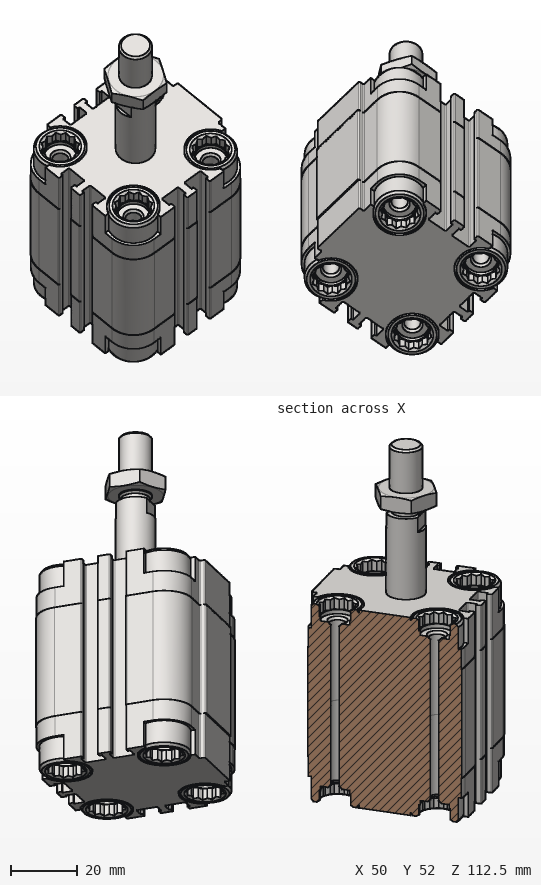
import cadquery as cq
import math

HOUSING_HEIGHT = 64.5
BAND_HALF_WIDTH = 25.0
END_INSET = 0.1
END_LENGTH = 14.5
SCREW_OFFSET = 16.0
TONGUE_HALF_WIDTH = 9.8
TONGUE_REACH = 27
TONGUE_END_INSET = 0.3
TONGUE_ROUND = 0.5
TONGUE_ROOT_ROUND = 0.3

SLOT_FLOOR = 19.9
LIP_INNER = 23.2
SLOT_NEAR, SLOT_FAR = 1.2, 8.0
MOUTH_NEAR, MOUTH_FAR = 2.0, 7.2
EDGE_ROUND = 0.3
FLOOR_ROUND = 0.3

COLLAR_DIAMETER = 16.0
COLLAR_CHAMFER = 0.9
COLLAR_FACE_DIAMETER = 14.6
RECESS_EDGE = 13.0
RECESS_DEPTH = 8.0
SOCKET_RIM_DIAMETER = 12.6
SOCKET_POINT_DIAMETER = 11.6
SOCKET_RIM_DEPTH = 0.8
SOCKET_DEPTH = 3.9
SOCKET_POINTS = 12
BORE_DIAMETER = 10.1
BORE_DEPTH = 5.3
THROUGH_DIAMETER = 5.0
COUNTERSINK_DIAMETER = 6.2
COUNTERSINK_DEPTH = 0.9

ROD_TOP = 112.5
ROD_DIAMETER = 12.0
ROD_SHOULDER = 90.7
FLAT_LENGTH = 4.8
FLAT_WIDTH = 10.0
NECK_DIAMETER = 8.7
THREAD_DIAMETER = 10.0
THREAD_BOTTOM = 92.5

NUT_BOTTOM = 93.5
NUT_HEIGHT = 5.1
NUT_FLATS = 17.0
NUT_FACE_DIAMETER = 16.6
NUT_CORNER_DROP = 0.5


def slot_cutter(half_width, side):
    """One undercut slot on the -Y side, on the given side of the middle."""
    undercut = (
        cq.Workplane("XY")
        .moveTo(side * (SLOT_NEAR + SLOT_FAR) / 2, -(SLOT_FLOOR + LIP_INNER) / 2)
        .rect(SLOT_FAR - SLOT_NEAR, LIP_INNER - SLOT_FLOOR)
        .extrude(HOUSING_HEIGHT)
        .edges("|Z and >Y")
        .fillet(FLOOR_ROUND)
    )
    mouth = (
        cq.Workplane("XY")
        .moveTo(side * MOUTH_NEAR, -SLOT_FLOOR)
        .lineTo(side * MOUTH_NEAR, EDGE_ROUND - half_width)
        .radiusArc((side * (MOUTH_NEAR - EDGE_ROUND), -half_width), side * EDGE_ROUND)
        .lineTo(side * (MOUTH_FAR + EDGE_ROUND), -half_width)
        .radiusArc((side * MOUTH_FAR, EDGE_ROUND - half_width), side * EDGE_ROUND)
        .lineTo(side * MOUTH_FAR, -SLOT_FLOOR)
        .close()
        .extrude(HOUSING_HEIGHT)
    )
    return undercut.union(mouth)


def profile_block(half_width, tongue_reach, bottom, height):
    """Rounded square with a tongue on +Y and slots on the other three sides."""
    tongue = (
        cq.Workplane("XY")
        .moveTo(0, tongue_reach / 2)
        .rect(2 * TONGUE_HALF_WIDTH, tongue_reach)
        .extrude(HOUSING_HEIGHT)
        .edges("|Z and >Y")
        .fillet(TONGUE_ROUND)
    )
    block = (
        cq.Workplane("XY")
        .rect(2 * half_width, 2 * half_width)
        .extrude(HOUSING_HEIGHT)
        .edges("|Z")
        .fillet(half_width - SCREW_OFFSET)
        .union(tongue)
    )
    for side in (-1, 1):
        root = cq.selectors.NearestToPointSelector(
            (side * TONGUE_HALF_WIDTH, half_width, HOUSING_HEIGHT / 2)
        )
        block = block.edges("|Z").edges(root).fillet(TONGUE_ROOT_ROUND)
    for angle in (-90, 0, 90):
        for side in (-1, 1):
            block = block.cut(slot_cutter(half_width, side).rotate((0, 0, 0), (0, 0, 1), angle))
    stretch = (
        cq.Workplane("XY")
        .workplane(offset=bottom)
        .rect(4 * half_width, 4 * half_width)
        .extrude(height)
    )
    return block.intersect(stretch)


def revolved(points):
    """Solid of revolution about Z from (radius, height) points."""
    return cq.Workplane("XZ").polyline(points).close().revolve(360, (0, 0), (0, 1))


def star_points():
    """Outline of two crossed hexagons with their points on the socket's point circle."""
    outer = SOCKET_POINT_DIAMETER / 2
    inner = outer * math.cos(math.pi / 6) / math.cos(math.pi / SOCKET_POINTS)
    points = []
    for i in range(2 * SOCKET_POINTS):
        radius = inner if i % 2 else outer
        angle = i * math.pi / SOCKET_POINTS
        points.append((radius * math.cos(angle), radius * math.sin(angle)))
    return points


def collar_cutter():
    """Everything removed at one upper corner, with the collar axis at the +X +Y corner."""
    top = HOUSING_HEIGHT
    collar = COLLAR_DIAMETER / 2
    collar_face = COLLAR_FACE_DIAMETER / 2
    rim = SOCKET_RIM_DIAMETER / 2
    bore = BORE_DIAMETER / 2
    sink = COUNTERSINK_DIAMETER / 2
    through = THROUGH_DIAMETER / 2

    recess_size = BAND_HALF_WIDTH - RECESS_EDGE
    recess_start = RECESS_EDGE - SCREW_OFFSET
    recess = (
        cq.Workplane("XY")
        .box(recess_size, recess_size, RECESS_DEPTH, centered=False)
        .translate((recess_start, recess_start, top - RECESS_DEPTH))
        .cut(cq.Workplane("XY").circle(collar).extrude(top))
    )
    chamfer = revolved(
        [(collar, top), (collar, top - COLLAR_CHAMFER), (collar_face, top)]
    )
    socket = (
        cq.Workplane("XY")
        .workplane(offset=top - SOCKET_DEPTH)
        .polyline(star_points())
        .close()
        .extrude(SOCKET_DEPTH)
    )
    bore_floor = top - BORE_DEPTH
    hole = revolved(
        [
            (0, top),
            (rim, top),
            (bore, top - SOCKET_RIM_DEPTH),
            (bore, bore_floor),
            (sink, bore_floor),
            (through, bore_floor - COUNTERSINK_DEPTH),
            (through, top / 2),
            (0, top / 2),
        ]
    )
    cutter = recess.union(chamfer).union(socket).union(hole)
    return cutter.translate((SCREW_OFFSET, SCREW_OFFSET, 0))


def make_housing():
    """Slotted block with a slightly larger middle band and four collars at each end."""
    band_height = HOUSING_HEIGHT - 2 * END_LENGTH
    core = profile_block(
        BAND_HALF_WIDTH - END_INSET, TONGUE_REACH - TONGUE_END_INSET, 0, HOUSING_HEIGHT
    )
    housing = core.union(profile_block(BAND_HALF_WIDTH, TONGUE_REACH, END_LENGTH, band_height))
    upper = collar_cutter()
    lower = upper.mirror("XY").translate((0, 0, HOUSING_HEIGHT))
    for i in range(4):
        for cutter in (upper, lower):
            housing = housing.cut(cutter.rotate((0, 0, 0), (0, 0, 1), 90 * i))
    return housing


def make_rod():
    """Rod standing on the housing, with a necked and chamfered thread and two wrench flats."""
    rod = ROD_DIAMETER / 2
    neck = NECK_DIAMETER / 2
    thread = THREAD_DIAMETER / 2
    chamfer = thread - neck
    body = revolved(
        [
            (0, HOUSING_HEIGHT),
            (rod, HOUSING_HEIGHT),
            (rod, ROD_SHOULDER),
            (neck, ROD_SHOULDER),
            (neck, THREAD_BOTTOM),
            (thread, THREAD_BOTTOM + chamfer),
            (thread, ROD_TOP - chamfer),
            (neck, ROD_TOP),
            (0, ROD_TOP),
        ]
    )
    flat_depth = (ROD_DIAMETER - FLAT_WIDTH) / 2
    for side in (-1, 1):
        centre = (0, side * (FLAT_WIDTH + flat_depth) / 2, ROD_SHOULDER - FLAT_LENGTH / 2)
        flat = cq.Workplane("XY").box(ROD_DIAMETER, flat_depth, FLAT_LENGTH).translate(centre)
        body = body.cut(flat)
    return body


def make_nut():
    """Hexagon nut with flats on +X and -X and conical corners at both faces."""
    top = NUT_BOTTOM + NUT_HEIGHT
    face = NUT_FACE_DIAMETER / 2
    corner = NUT_FLATS / math.sqrt(3)
    hexagon = (
        cq.Workplane("XY")
        .workplane(offset=NUT_BOTTOM)
        .polygon(6, 2 * corner)
        .extrude(NUT_HEIGHT)
        .rotate((0, 0, 0), (0, 0, 1), 90)
    )
    envelope = revolved(
        [
            (0, NUT_BOTTOM),
            (face, NUT_BOTTOM),
            (corner, NUT_BOTTOM + NUT_CORNER_DROP),
            (corner, top - NUT_CORNER_DROP),
            (face, top),
            (0, top),
        ]
    )
    thread_hole = (
        cq.Workplane("XY")
        .workplane(offset=NUT_BOTTOM)
        .circle(THREAD_DIAMETER / 2)
        .extrude(NUT_HEIGHT)
    )
    return hexagon.intersect(envelope).cut(thread_hole)


housing = make_housing()
rod = make_rod()
nut = make_nut()

result = cq.Compound.makeCompound([housing.solids().val(), rod.solids().val(), nut.solids().val()])